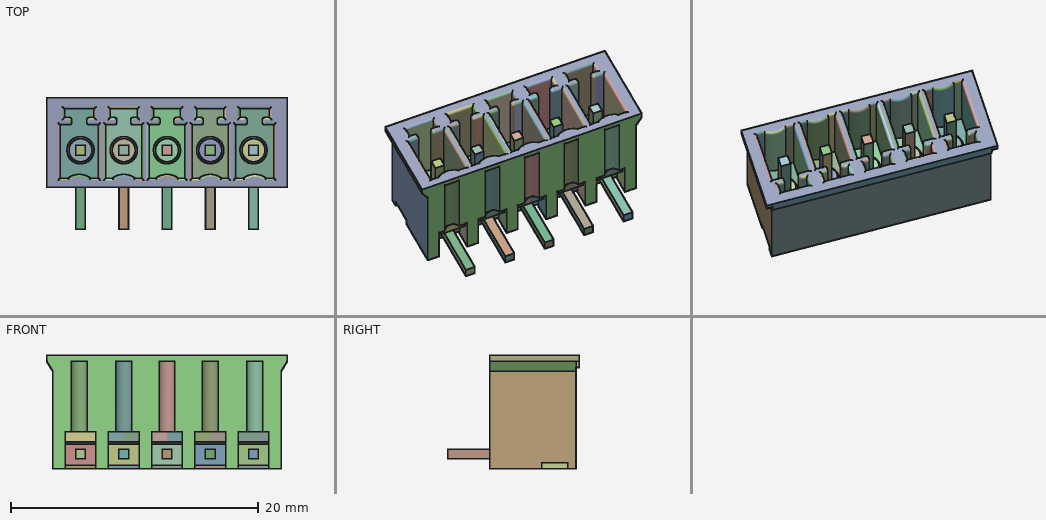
import cadquery as cq
import math

POLES = 5
PITCH = 3.5

HEIGHT = 9.2
BODY_WIDTH = 18.5
BODY_DEPTH = 7.0
FLANGE_OVERHANG = 0.5
FLANGE_HEIGHT = 0.5
FLANGE_TAPER = 0.8
LIP_DEPTH = 0.25
LIP_HEIGHT = 1.0

CAVITY_WIDTH = 2.88
CAVITY_FRONT = 0.75
CAVITY_REAR = 5.05
CAVITY_FLOOR = 3.0
KEY_WIDTH = 2.18
KEY_FRONT = 5.65
KEY_REAR = 6.35
NECK_WIDTH = 1.12
END_EXTRA_WIDTH = 0.2
NECK_END_EXTRA_WIDTH = 0.1
MOUTH_RADIUS = 0.2
BULGE_RADIUS = 1.5
BULGE_REACH = 1.05

BOSS_BASE_RADIUS = 1.1
BOSS_TOP_RADIUS = 0.93
BOSS_HEIGHT = 0.5

GROOVE_RADIUS = 0.7
GROOVE_TOP = 8.72
GROOVE_OVERREACH = 0.0005
WINDOW_WIDTH = 2.5
WINDOW_TOP = 3.0
SHOULDER_DEPTH = 0.4
SHOULDER_BOTTOM = 2.2
WINDOW_DEPTH = 1.5
WINDOW_REAR_TOP = 2.0
RELIEF_HEIGHT = 0.3

NOTCH_FRONT = 4.2
NOTCH_REAR = 6.3
NOTCH_HEIGHT = 0.5
NOTCH_DEPTH = 0.5

PIN_SIZE = 0.8
PIN_REACH = 3.4
PIN_Y = 3.0
PIN_Z = 1.2
PIN_TOP = 7.9

POLE_XS = [(i - (POLES - 1) / 2) * PITCH for i in range(POLES)]


def block(x0, x1, y0, y1, z0, z1):
    return cq.Workplane("XY").box(x1 - x0, y1 - y0, z1 - z0, centered=False).translate((x0, y0, z0))


def end_side(x):
    """-1 or +1 for the first or last pole, 0 for a pole in between."""
    if math.isclose(abs(x), POLE_XS[-1]):
        return math.copysign(1, x)
    return 0


def cavity_center(x):
    return x + end_side(x) * END_EXTRA_WIDTH / 2


def make_housing():
    half = BODY_WIDTH / 2
    rim = half + FLANGE_OVERHANG
    taper_top = HEIGHT - FLANGE_HEIGHT
    taper_bottom = taper_top - FLANGE_TAPER
    profile = [
        (-half, 0), (half, 0), (half, taper_bottom), (rim, taper_top), (rim, HEIGHT),
        (-rim, HEIGHT), (-rim, taper_top), (-half, taper_bottom),
    ]
    body = cq.Workplane("XZ").polyline(profile).close().extrude(-BODY_DEPTH)
    rear = BODY_DEPTH + LIP_DEPTH
    upper_lip = block(-rim, rim, BODY_DEPTH, rear, taper_top, HEIGHT)
    lower_lip = block(-half, half, BODY_DEPTH, rear, HEIGHT - LIP_HEIGHT, taper_top)
    return body.union(upper_lip).union(lower_lip)


def make_cavity(x):
    """Keyed cavity, its front wall bulging inwards, its rib tips rounded."""
    center = cavity_center(x)
    is_end = abs(end_side(x))
    half = (CAVITY_WIDTH + is_end * END_EXTRA_WIDTH) / 2
    key_half = (KEY_WIDTH + is_end * END_EXTRA_WIDTH) / 2
    neck_half = (NECK_WIDTH + is_end * NECK_END_EXTRA_WIDTH) / 2
    main = block(center - half, center + half, CAVITY_FRONT, CAVITY_REAR, CAVITY_FLOOR, HEIGHT)
    neck = block(center - neck_half, center + neck_half, CAVITY_REAR, KEY_FRONT, CAVITY_FLOOR, HEIGHT)
    key = block(center - key_half, center + key_half, KEY_FRONT, KEY_REAR, CAVITY_FLOOR, HEIGHT)
    bulge = (
        cq.Workplane("XY", origin=(center, BULGE_REACH - BULGE_RADIUS, CAVITY_FLOOR))
        .circle(BULGE_RADIUS)
        .extrude(HEIGHT - CAVITY_FLOOR)
    )
    return main.union(neck).union(key).cut(bulge)


def round_mouths(housing):
    """Round every cavity mouth together with the upright edges of the rib tips."""
    margin = MOUTH_RADIUS
    mouth_zone = cq.selectors.BoxSelector(
        (-BODY_WIDTH / 2, margin, HEIGHT - margin),
        (BODY_WIDTH / 2, BODY_DEPTH - margin, HEIGHT + margin),
    )
    edges = housing.edges(mouth_zone)
    for x in POLE_XS:
        center = cavity_center(x)
        reach = NECK_WIDTH / 2 + NECK_END_EXTRA_WIDTH
        tip_zone = cq.selectors.BoxSelector(
            (center - reach, CAVITY_REAR - margin, CAVITY_FLOOR + margin),
            (center + reach, KEY_FRONT + margin, HEIGHT - margin),
        )
        edges = edges.add(housing.edges("|Z").edges(tip_zone))
    return edges.fillet(MOUTH_RADIUS)


def make_boss(x):
    base = cq.Workplane("XY", origin=(x, PIN_Y, CAVITY_FLOOR)).circle(BOSS_BASE_RADIUS)
    return base.workplane(offset=BOSS_HEIGHT).circle(BOSS_TOP_RADIUS).loft(ruled=True)


def make_groove(x):
    """Cylindrical groove down the front face, ending in the contact window."""
    depth, bottom = SHOULDER_DEPTH, WINDOW_TOP
    if end_side(x) == 0:
        depth, bottom = SHOULDER_DEPTH + GROOVE_OVERREACH, SHOULDER_BOTTOM
    return (
        cq.Workplane("XY", origin=(cavity_center(x), depth - GROOVE_RADIUS, bottom))
        .circle(GROOVE_RADIUS)
        .extrude(GROOVE_TOP - bottom)
    )


def make_window(x):
    """Stepped opening around the pin, open to the front and to the underside."""
    profile = [
        (0, 0), (NOTCH_FRONT, 0), (NOTCH_FRONT, RELIEF_HEIGHT), (WINDOW_DEPTH, RELIEF_HEIGHT),
        (WINDOW_DEPTH, WINDOW_REAR_TOP), (SHOULDER_DEPTH, SHOULDER_BOTTOM),
        (SHOULDER_DEPTH, WINDOW_TOP), (0, WINDOW_TOP),
    ]
    start = cq.Workplane("YZ", origin=(x - WINDOW_WIDTH / 2, 0, 0))
    return start.polyline(profile).close().extrude(WINDOW_WIDTH)


def make_notch(side):
    outer = side * BODY_WIDTH / 2
    inner = outer - side * NOTCH_DEPTH
    return block(min(outer, inner), max(outer, inner), NOTCH_FRONT, NOTCH_REAR, 0, NOTCH_HEIGHT)


def make_pin(x):
    half = PIN_SIZE / 2
    bottom = PIN_Z - half
    tail = block(x - half, x + half, -PIN_REACH, PIN_Y + half, bottom, PIN_Z + half)
    post = block(x - half, x + half, PIN_Y - half, PIN_Y + half, bottom, PIN_TOP)
    return tail.union(post)


housing = make_housing()
for pole_x in POLE_XS:
    housing = housing.cut(make_cavity(pole_x))
housing = round_mouths(housing)
for pole_x in POLE_XS:
    housing = housing.cut(make_groove(pole_x)).cut(make_window(pole_x))
    housing = housing.union(make_boss(pole_x)).union(make_pin(pole_x))
for end in (-1, 1):
    housing = housing.cut(make_notch(end))

result = housing